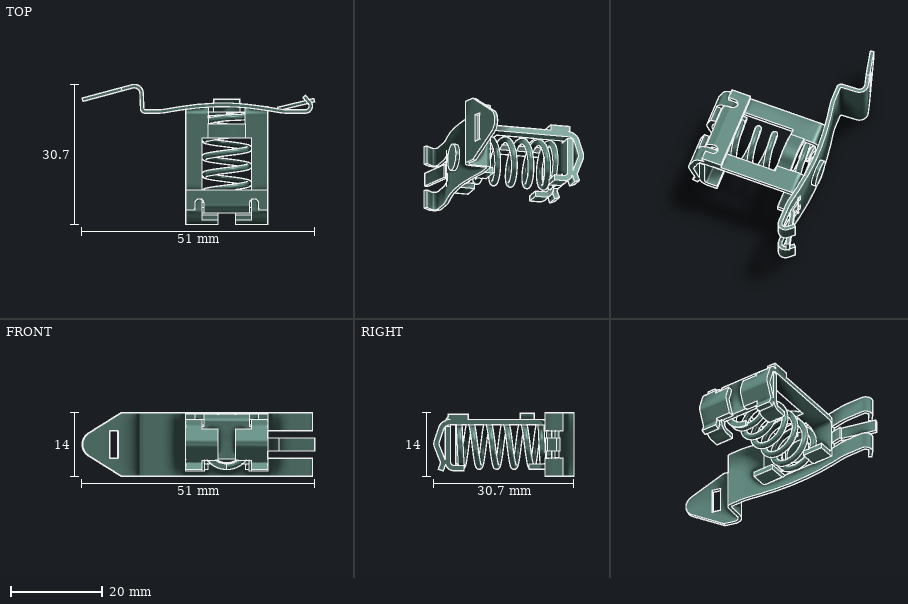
import cadquery as cq
import math


leaf_thickness = 0.8
leaf_width = 14.0
leaf_flat_y = leaf_thickness / 2
leaf_rise_angle = 9.6
leaf_left_flat_end = -15.1
leaf_right_flat_end = 13.25
leaf_crown_radius = 56.0
leaf_blend_radius = 10.0

handle_angle = 15.0
handle_tip = (-31.63, 2.97)
handle_bend_x = -18.75
handle_bend_radius = 1.6
heel_x = -18.5
heel_radius = 0.65
handle_taper_length = 8.9
handle_tip_radius = 2.9
handle_slot_near = 6.12
handle_slot_length = 1.95
handle_slot_width = 6.0

hook_corner_x = 19.85
hook_bend_radius = 1.2
hook_turn_angle = 131.0
hook_leg_length = 4.4

finger_slot_start = 8.0
finger_gap_edge = 3.0
tongue_half_width = 1.46
tongue_bend_x = 11.45
tongue_bend_y = 0.95
tongue_tip = (19.2, 2.88)

boss_diameter = 5.8
boss_y = (0.34, 3.1)

sheet = 1.2
bend_outer_radius = 2.0
bend_radius = bend_outer_radius - sheet / 2
bracket_half_width = 9.0
plate_top = 5.47
plate_mid = plate_top - sheet / 2
plate_bottom = plate_top - sheet
seat_outer_y = 1.48
seat_mid_y = seat_outer_y - sheet / 2
seat_flange_end = -3.5
seat_opening_half = 4.0
seat_flange_inner = 4.15
window_half_width = 5.4
window_start = -5.45

arch_outer_radius = 6.85
arch_y = (-5.45, -2.33)

arm_corner_y = -22.3
arm_bend_radius = 2.0
arm_apex = (-23.9, 0.13)
arm_apex_radius = 1.7
arm_waist = (-22.25, -4.0)
arm_waist_radius = 0.65
arm_tip = (-22.86, -5.65)
arm_inner_x = 1.91
arm_wide_top = 3.44
arm_wide_bottom = -3.47

cap_top = plate_top + sheet
cap_start = -16.8
cap_end = -21.22
cap_strip_half = 5.0
cap_slot_width = 2.0
cap_slot_apex = -18.75
wall_outer_y = -21.88
wall_mid_y = wall_outer_y + sheet / 2
wall_shoulder = 3.9
wall_bottom = -5.8
wall_flange_end = -17.7
wall_flange_inner = 4.85
wall_notch_top = -3.14

wire_diameter = 1.3
coil_outer_radius = 5.5
coil_mean_radius = coil_outer_radius - wire_diameter / 2
coil_pitch = 3.83
closed_pitch = 1.35
closed_turns = 1.0
active_turns = 4.5
coil_first_y = -19.6
coil_start_turn = 0.5
ground_y = (-19.6, 0.34)
coil_points_per_turn = 16

big = 60.0


def box(x, y, z):
    """Box spanning the given (low, high) pair along each axis."""
    size = [high - low for low, high in (x, y, z)]
    return cq.Workplane("XY").box(*size, centered=False).translate((x[0], y[0], z[0]))


def mirrored(body):
    """Body together with its mirror image across X = 0."""
    return body.union(body.mirror("YZ"))


def unit(start, end):
    """Unit direction from start to end."""
    length = math.dist(start, end)
    return ((end[0] - start[0]) / length, (end[1] - start[1]) / length)


def polar(point, length, degrees):
    """Point at the given length and direction from another."""
    angle = math.radians(degrees)
    return (point[0] + length * math.cos(angle), point[1] + length * math.sin(angle))


def offset_points(points, distance):
    """Mitred copy of an open polyline, moved to its left by distance."""
    steps = [unit(a, b) for a, b in zip(points, points[1:])]
    before = [steps[0]] + steps
    after = steps + [steps[-1]]
    moved = []
    for (x, y), (ax, ay), (bx, by) in zip(points, before, after):
        reach = distance / (1 + ax * bx + ay * by)
        moved.append((x - reach * (ay + by), y + reach * (ax + bx)))
    return moved


def round_corner(outline, previous, corner, following, radius):
    """Draw up to a corner and round it with a tangent arc."""
    back = unit(corner, previous)
    ahead = unit(corner, following)
    half = math.acos(back[0] * ahead[0] + back[1] * ahead[1]) / 2
    if radius <= 0:
        return outline.lineTo(*corner)
    tangent = radius / math.tan(half)
    bisector = unit((0, 0), (back[0] + ahead[0], back[1] + ahead[1]))
    depth = radius / math.sin(half) - radius
    start, middle, end = (
        (corner[0] + way[0] * reach, corner[1] + way[1] * reach)
        for way, reach in ((back, tangent), (bisector, depth), (ahead, tangent))
    )
    return outline.lineTo(*start).threePointArc(middle, end)


def bent_strip(plane, points, radii, thickness, low, high):
    """Sheet strip whose centreline follows points, extruded from low to high."""
    left = offset_points(points, thickness / 2)
    right = offset_points(points, -thickness / 2)[::-1]
    left_radii = []
    right_radii = []
    for a, b, c, radius in zip(points, points[1:], points[2:], radii):
        turn = (b[0] - a[0]) * (c[1] - b[1]) - (b[1] - a[1]) * (c[0] - b[0])
        shift = math.copysign(thickness / 2, turn)
        left_radii.append(radius - shift)
        right_radii.append(radius + shift)
    loop = left + right
    loop_radii = [0] + left_radii + [0, 0] + right_radii[::-1]
    outline = cq.Workplane(plane).workplane(offset=low).moveTo(*loop[-1])
    for index, radius in enumerate(loop_radii):
        outline = round_corner(outline, loop[index - 1], loop[index], loop[index + 1], radius)
    return outline.close().extrude(high - low)


def leaf_path():
    """Centreline corners and bend radii of the leaf, from handle to hook."""
    handle_rise = (handle_bend_x - handle_tip[0]) * math.tan(math.radians(handle_angle))
    handle_bend = (handle_bend_x, handle_tip[1] + handle_rise)
    rise = math.radians(leaf_rise_angle)
    blend_tangent = leaf_blend_radius * math.tan(rise / 2)
    left_corner_x = leaf_left_flat_end + blend_tangent
    right_corner_x = leaf_right_flat_end - blend_tangent
    apex_x = (left_corner_x + right_corner_x) / 2
    apex_y = leaf_flat_y + (apex_x - left_corner_x) * math.tan(rise)
    hook_corner = (hook_corner_x, leaf_flat_y)
    points = [
        handle_tip,
        handle_bend,
        (heel_x, leaf_flat_y),
        (left_corner_x, leaf_flat_y),
        (apex_x, apex_y),
        (right_corner_x, leaf_flat_y),
        hook_corner,
        polar(hook_corner, hook_leg_length, hook_turn_angle),
    ]
    radii = [
        handle_bend_radius,
        heel_radius,
        leaf_blend_radius,
        leaf_crown_radius,
        leaf_blend_radius,
        hook_bend_radius,
    ]
    return points, radii


def handle_cutter():
    """Waste around the tapered, rounded handle tip, plus its strap slot."""
    along = math.radians(handle_angle)
    plane = cq.Plane(
        origin=(handle_tip[0], handle_tip[1], 0),
        xDir=(math.cos(along), math.sin(along), 0),
        normal=(math.sin(along), -math.cos(along), 0),
    )
    half = leaf_width / 2
    run = handle_taper_length - handle_tip_radius
    slant = math.atan2(half, run) - math.asin(handle_tip_radius / math.hypot(run, half))
    touch_x = handle_tip_radius * (1 - math.sin(slant))
    touch_z = handle_tip_radius * math.cos(slant)
    kept = (
        cq.Workplane(plane)
        .moveTo(handle_taper_length, -half)
        .lineTo(touch_x, -touch_z)
        .threePointArc((0, 0), (touch_x, touch_z))
        .lineTo(handle_taper_length, half)
        .close()
        .extrude(leaf_thickness, both=True)
    )
    waste = (
        cq.Workplane(plane)
        .center(handle_taper_length / 2, 0)
        .rect(handle_taper_length, leaf_width)
        .extrude(leaf_thickness, both=True)
    )
    slot = (
        cq.Workplane(plane)
        .center(handle_slot_near + handle_slot_length / 2, 0)
        .rect(handle_slot_length, handle_slot_width)
        .extrude(leaf_thickness, both=True)
    )
    return waste.cut(kept).union(slot)


def make_leaf():
    """Leaf with its handle, forked hook end, centre tongue and spigot boss."""
    points, radii = leaf_path()
    half = leaf_width / 2
    leaf = bent_strip("XY", points, radii, leaf_thickness, -half, half).cut(handle_cutter())
    fork = box((finger_slot_start, big), (-big, big), (-finger_gap_edge, finger_gap_edge))
    root = box((finger_slot_start, tongue_bend_x), (-big, big), (-tongue_half_width, tongue_half_width))
    tongue_root = (tongue_bend_x - leaf_thickness / 4, tongue_bend_y)
    tongue = bent_strip(
        "XY",
        [tongue_root, tongue_tip],
        [],
        leaf_thickness,
        -tongue_half_width,
        tongue_half_width,
    )
    boss = (
        cq.Workplane("XZ", origin=(0, boss_y[0], 0))
        .circle(boss_diameter / 2)
        .extrude(boss_y[0] - boss_y[1])
    )
    return leaf.cut(fork.cut(root)).union(tongue).union(boss)


def make_bracket():
    """Seat wall with its lower flanges, the windowed plate and the two spring arms."""
    flange_z = -plate_mid
    points = [
        (seat_flange_end, flange_z),
        (seat_mid_y, flange_z),
        (seat_mid_y, plate_mid),
        (arm_corner_y, plate_mid),
        arm_apex,
        arm_waist,
        arm_tip,
    ]
    radii = [bend_radius, bend_radius, arm_bend_radius, arm_apex_radius, arm_waist_radius]
    width = bracket_half_width
    bracket = bent_strip("YZ", points, radii, sheet, -width, width)

    seat_gap = box((-seat_opening_half, seat_opening_half), (window_start, big), (0, big))
    seat_round = cq.Workplane("XZ").circle(seat_opening_half).extrude(-bend_outer_radius)
    flange_gap = box(
        (-seat_flange_inner, seat_flange_inner), (seat_flange_end, big), (-big, -plate_bottom)
    )
    window = box((-window_half_width, window_half_width), (arm_corner_y, window_start), (0, big))
    arm_gap = box((-arm_inner_x, arm_inner_x), (-big, cap_start), (-big, big))
    bracket = bracket.cut(seat_gap).cut(seat_round).cut(flange_gap).cut(window).cut(arm_gap)
    for z_range in ((arm_wide_top, big), (-big, arm_wide_bottom)):
        narrowing = box((-window_half_width, window_half_width), (-big, cap_start), z_range)
        bracket = bracket.cut(narrowing)
    return bracket.union(make_arch())


def make_arch():
    """Bridge concentric with the coil, rising out of the plate."""
    ring = (
        cq.Workplane("XZ", origin=(0, arch_y[1], 0))
        .circle(arch_outer_radius)
        .circle(arch_outer_radius - sheet)
        .extrude(arch_y[1] - arch_y[0])
    )
    return ring.intersect(box((-big, big), (-big, big), (plate_bottom, big)))


def make_cap():
    """Cap on the plate end whose middle strip bends down into the end wall."""
    width = bracket_half_width
    cap_mid = cap_top - sheet / 2
    points = [
        (cap_start, cap_mid),
        (wall_mid_y, cap_mid),
        (wall_mid_y, wall_bottom + sheet / 2),
        (wall_flange_end, wall_bottom + sheet / 2),
    ]
    strip = bent_strip("YZ", points, [bend_radius, bend_radius], sheet, -width, width)
    beside_strip = mirrored(box((cap_strip_half, big), (-big, big), (wall_shoulder, big)))
    flange_gap = box(
        (-wall_flange_inner, wall_flange_inner), (-big, big), (-big, wall_notch_top)
    )
    slot_x = cap_strip_half + cap_slot_width / 2
    slot_radius = cap_slot_width / 2
    slot_center_y = cap_slot_apex - slot_radius
    ear = box((cap_strip_half, width), (cap_end, cap_start), (plate_top, cap_top))
    slot = box(
        (cap_strip_half, cap_strip_half + cap_slot_width), (cap_end, slot_center_y), (plate_top, cap_top)
    )
    slot_end = (
        cq.Workplane("XY", origin=(slot_x, slot_center_y, plate_top)).circle(slot_radius).extrude(sheet)
    )
    ears = mirrored(ear.cut(slot).cut(slot_end))
    return strip.cut(beside_strip).cut(flange_gap).union(ears)


def coil_y(turn):
    """Axial position after the given number of turns: closed, active, then closed."""
    closed = min(turn, closed_turns) + max(turn - closed_turns - active_turns, 0)
    active = min(max(turn - closed_turns, 0), active_turns)
    return coil_first_y + closed_pitch * closed + coil_pitch * active


def make_coil():
    """Helical wire with closed ends ground flat."""
    total_turns = active_turns + 2 * closed_turns
    points = []
    for step in range(round(total_turns * coil_points_per_turn) + 1):
        turn = step / coil_points_per_turn
        angle = 2 * math.pi * (turn + coil_start_turn)
        points.append(
            (coil_mean_radius * math.sin(angle), coil_y(turn), coil_mean_radius * math.cos(angle))
        )
    path = cq.Workplane("XY").spline(points)
    section = cq.Plane(origin=points[0], xDir=(0, 0, 1), normal=(-1, 0, 0))
    coil = cq.Workplane(section).circle(wire_diameter / 2).sweep(path, isFrenet=True)
    return coil.intersect(box((-big, big), ground_y, (-big, big)))


result = make_bracket().union(make_cap()).union(make_leaf()).union(make_coil())